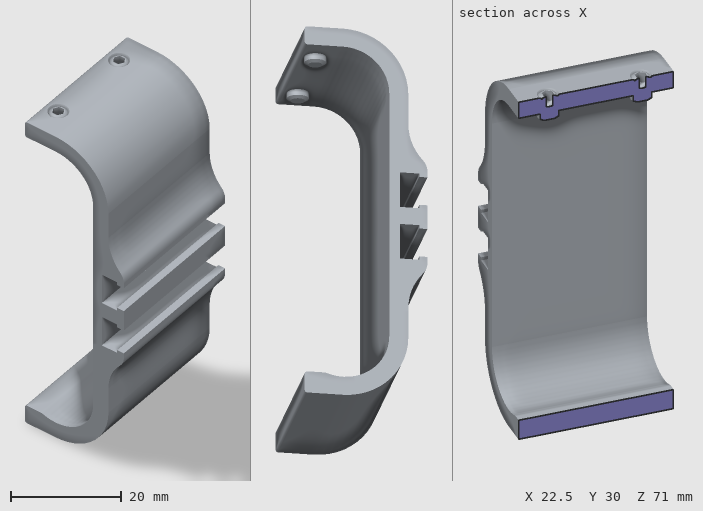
import cadquery as cq
import math

depth_x = 22.5
width = 30.0
height = 71.0
wall = 3.5
half_height = height / 2
wall_outer_x = 19.0
wall_inner_x = wall_outer_x - wall

bend_outer_radius = 12.0
bend_inner_radius = bend_outer_radius - wall
bend_center_x = wall_outer_x - bend_outer_radius
bend_center_z = half_height - bend_outer_radius

lip_height = 4.1
tip_fillet = 0.5
lip_crest_fillet = 2.0

rail_face_end_z = 8.9
rail_root_radius = 10.0
rail_crest_radius = 3.0
slot_pitch = 10.0
slot_width = 6.7
slot_mouth_width = 5.4
slot_floor_x = 17.5
slot_mouth_depth = 1.5

screw_diameter = 4.0
screw_length = 5.0
screw_x = 3.0
screw_pitch = 18.0
screw_end_diameter = 2.6
screw_tip_chamfer_height = 0.4
head_diameter = 2.5
groove_bottom_diameter = 3.5
countersink_diameter = 4.0
groove_depth = 0.3
socket_across_flats = 2.0
socket_depth = 2.0
socket_point_angle = 118.0


def point_on_circle(center_x, center_z, radius, angle_deg):
    """Point on a circle in the XZ plane, angle measured from +X toward +Z."""
    angle = math.radians(angle_deg)
    return (center_x + radius * math.cos(angle), center_z + radius * math.sin(angle))


def extrude_across_width(sketch):
    """Extrude an XZ outline over the full width, centred on Y."""
    return sketch.extrude(width / 2, both=True)


def make_clip():
    """C-shaped body whose lower inner bend runs on past its lowest point into a raised lip."""
    lip_top_z = -half_height + lip_height
    lip_drop = -bend_center_z - lip_top_z
    lip_crest_x = bend_center_x - math.sqrt(bend_inner_radius**2 - lip_drop**2)
    lip_crest_angle = -180 + math.degrees(math.asin(lip_drop / bend_inner_radius))
    lower_bend_middle = point_on_circle(
        bend_center_x, -bend_center_z, bend_inner_radius, lip_crest_angle / 2
    )

    sketch = (
        cq.Workplane("XZ")
        .moveTo(0, half_height)
        .lineTo(bend_center_x, half_height)
        .threePointArc(
            point_on_circle(bend_center_x, bend_center_z, bend_outer_radius, 45),
            (wall_outer_x, bend_center_z),
        )
        .lineTo(wall_outer_x, -bend_center_z)
        .threePointArc(
            point_on_circle(bend_center_x, -bend_center_z, bend_outer_radius, -45),
            (bend_center_x, -half_height),
        )
        .lineTo(0, -half_height)
        .lineTo(0, lip_top_z)
        .lineTo(lip_crest_x, lip_top_z)
        .threePointArc(lower_bend_middle, (wall_inner_x, -bend_center_z))
        .lineTo(wall_inner_x, bend_center_z)
        .threePointArc(
            point_on_circle(bend_center_x, bend_center_z, bend_inner_radius, 45),
            (bend_center_x, half_height - wall),
        )
        .lineTo(0, half_height - wall)
        .close()
    )
    clip = extrude_across_width(sketch)
    clip = clip.faces("<X").edges("|Y").fillet(tip_fillet)
    lip_crest = cq.selectors.NearestToPointSelector((lip_crest_x, 0, lip_top_z))
    return clip.edges("|Y").edges(lip_crest).fillet(lip_crest_fillet)


def make_rail():
    """Rail that blends into the wall at both ends through a concave and a convex arc."""
    rail_rise = depth_x - wall_outer_x
    blend_radius = rail_root_radius + rail_crest_radius
    blend_angle = math.degrees(math.acos(1 - rail_rise / blend_radius))
    crest_center_x = depth_x - rail_crest_radius
    root_center_x = wall_outer_x + rail_root_radius
    root_z = rail_face_end_z + blend_radius * math.sin(math.radians(blend_angle))

    crest_middle = point_on_circle(crest_center_x, rail_face_end_z, rail_crest_radius, blend_angle / 2)
    joint = point_on_circle(crest_center_x, rail_face_end_z, rail_crest_radius, blend_angle)
    root_middle = point_on_circle(root_center_x, root_z, rail_root_radius, 180 + blend_angle / 2)

    def mirrored(point):
        return (point[0], -point[1])

    sketch = (
        cq.Workplane("XZ")
        .moveTo(wall_inner_x, root_z)
        .lineTo(wall_outer_x, root_z)
        .threePointArc(root_middle, joint)
        .threePointArc(crest_middle, (depth_x, rail_face_end_z))
        .lineTo(depth_x, -rail_face_end_z)
        .threePointArc(mirrored(crest_middle), mirrored(joint))
        .threePointArc(mirrored(root_middle), (wall_outer_x, -root_z))
        .lineTo(wall_inner_x, -root_z)
        .close()
    )
    return extrude_across_width(sketch)


def make_slot(center_z):
    """Undercut slot running the full width, with a narrower mouth at the rail face."""
    undercut_end_x = depth_x - slot_mouth_depth

    def slab(start_x, end_x, slab_height):
        middle_x = (start_x + end_x) / 2
        return cq.Workplane("XY").box(end_x - start_x, width, slab_height).translate((middle_x, 0, center_z))

    undercut = slab(slot_floor_x, undercut_end_x, slot_width)
    mouth = slab(slot_floor_x, depth_x, slot_mouth_width)
    return undercut.union(mouth)


def make_socket():
    """Hexagonal socket with a drill-point bottom, opening at the origin plane and going down."""
    corner_diameter = socket_across_flats / math.cos(math.pi / 6)
    corner_radius = corner_diameter / 2
    point_depth = corner_radius / math.tan(math.radians(socket_point_angle / 2))
    drilling = (
        cq.Workplane("XZ")
        .lineTo(corner_radius, 0)
        .lineTo(corner_radius, -socket_depth)
        .lineTo(0, -socket_depth - point_depth)
        .close()
        .revolve(360, (0, 0), (0, 1))
    )
    hexagon = cq.Workplane("XY").polygon(6, corner_diameter).extrude(-socket_depth - point_depth)
    return drilling.intersect(hexagon)


def make_screw_body():
    """Screw body from the origin plane down to its chamfered tip."""
    radius = screw_diameter / 2
    end_radius = screw_end_diameter / 2
    return (
        cq.Workplane("XZ")
        .lineTo(radius, 0)
        .lineTo(radius, -screw_length + screw_tip_chamfer_height)
        .lineTo(end_radius, -screw_length)
        .lineTo(0, -screw_length)
        .close()
        .revolve(360, (0, 0), (0, 1))
    )


def make_head_groove():
    """V-shaped ring between the chamfered screw head and the countersunk rim of its hole."""
    return (
        cq.Workplane("XZ")
        .moveTo(head_diameter / 2, 0)
        .lineTo(groove_bottom_diameter / 2, -groove_depth)
        .lineTo(countersink_diameter / 2, 0)
        .close()
        .revolve(360, (0, 0), (0, 1))
    )


def add_screw(part, center_y):
    """Set screw seated in the upper arm, flush with the top and standing out below."""
    location = (screw_x, center_y, half_height)
    part = part.union(make_screw_body().translate(location))
    part = part.cut(make_head_groove().translate(location))
    return part.cut(make_socket().translate(location))


result = make_clip().union(make_rail())
for side in (1, -1):
    result = result.cut(make_slot(side * slot_pitch / 2))
for side in (1, -1):
    result = add_screw(result, side * screw_pitch / 2)